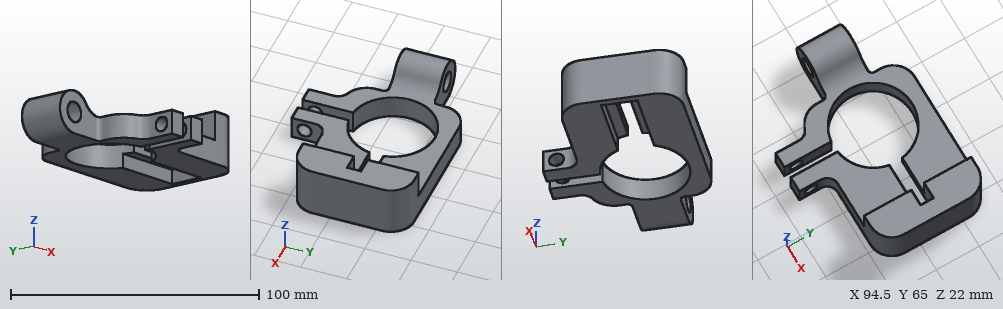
import cadquery as cq
import math

body_length = 70.0
body_width = 50.0
plate_thickness = 10.0
corner_radius = 10.0
half_width = body_width / 2

block_length = 15.0
block_height = 22.0

lug_thickness = 7.0
slit_width = 5.0
lug_length = 15.0
lug_fillet = 5.0
lug_left = corner_radius
lug_right = lug_left + 2 * lug_thickness + slit_width
lug_end = -half_width - lug_length
screw_diameter = 6.0
screw_from_lug_end = 5.5

bore_diameter = 36.5
bore_x = (lug_left + lug_right) / 2

slot_width = 6.0
undercut_ledge = 4.5
undercut_depth = 6.0
slot_end_wall = 7.5
slot_end = body_length - slot_end_wall

barrel_radius = 9.0
barrel_width = 20.0
pin_diameter = 8.5
blend_radius = 10.0
web_fillet = 2.0
blend_z = plate_thickness + blend_radius
barrel_x = -math.sqrt((barrel_radius + blend_radius) ** 2 - (blend_z - barrel_radius) ** 2)


def make_plate():
    """Rounded plate with the two lugs still joined as one tab."""
    plate = (
        cq.Workplane("XY")
        .rect(body_length, body_width)
        .extrude(plate_thickness)
        .translate((body_length / 2, 0, 0))
        .edges("|Z")
        .fillet(corner_radius)
    )

    arc_x = corner_radius
    arc_y = -half_width + corner_radius
    center_gap = corner_radius + lug_fillet
    fillet_x = lug_left - lug_fillet
    fillet_y = arc_y - math.sqrt(center_gap**2 - (arc_x - fillet_x) ** 2)
    touch_ratio = corner_radius / center_gap
    touch_x = arc_x + touch_ratio * (fillet_x - arc_x)
    touch_y = arc_y + touch_ratio * (fillet_y - arc_y)

    tab = (
        cq.Workplane("XY")
        .moveTo(arc_x, arc_y)
        .lineTo(touch_x, touch_y)
        .radiusArc((lug_left, fillet_y), lug_fillet)
        .lineTo(lug_left, lug_end)
        .lineTo(lug_right, lug_end)
        .lineTo(lug_right, -half_width - lug_fillet)
        .radiusArc((lug_right + lug_fillet, -half_width), lug_fillet)
        .lineTo(lug_right + lug_fillet, arc_y)
        .close()
        .extrude(plate_thickness)
    )
    return plate.union(tab)


def make_block():
    """Raised block with the two outer corners rounded."""
    return (
        cq.Workplane("XY")
        .rect(block_length, body_width)
        .extrude(block_height)
        .translate((body_length - block_length / 2, 0, 0))
        .edges("|Z and >X")
        .fillet(corner_radius)
    )


def make_barrel():
    """Hinge barrel, its web to the plate and the fillets beside the web."""
    touch_ratio = barrel_radius / (barrel_radius + blend_radius)
    touch_x = barrel_x - touch_ratio * barrel_x
    touch_z = barrel_radius + touch_ratio * (blend_z - barrel_radius)

    def profile_prism(width):
        return (
            cq.Workplane("XZ")
            .moveTo(0, 0)
            .lineTo(0, plate_thickness)
            .radiusArc((touch_x, touch_z), blend_radius)
            .threePointArc((barrel_x - barrel_radius, barrel_radius), (barrel_x, 0))
            .close()
            .extrude(width / 2, both=True)
        )

    half_root = barrel_width / 2
    root_width = barrel_width + 2 * web_fillet
    root = (
        cq.Workplane("XY")
        .moveTo(0, -half_root - web_fillet)
        .radiusArc((-web_fillet, -half_root), -web_fillet)
        .lineTo(-web_fillet, half_root)
        .radiusArc((0, half_root + web_fillet), -web_fillet)
        .close()
        .extrude(blend_z)
        .intersect(profile_prism(root_width))
    )
    return profile_prism(barrel_width).union(root)


def slot_prism(width, end_x, height):
    """Straight slot volume from the bore axis to end_x, up from the underside."""
    return (
        cq.Workplane("XY")
        .box(end_x - bore_x, width, height, centered=(False, True, False))
        .translate((bore_x, 0, 0))
    )


def make_cuts():
    """Bore, T-slot, clamp slit, screw hole and hinge pin hole."""
    bore = cq.Workplane("XY").center(bore_x, 0).circle(bore_diameter / 2).extrude(plate_thickness)
    slot = slot_prism(slot_width, slot_end, block_height)
    undercut_width = slot_width + 2 * undercut_ledge
    undercut = slot_prism(undercut_width, slot_end + undercut_ledge, undercut_depth)
    slit = (
        cq.Workplane("XY")
        .box(slit_width, -lug_end, plate_thickness, centered=(True, False, False))
        .translate((bore_x, lug_end, 0))
    )
    screw_hole = (
        cq.Workplane("YZ", origin=(lug_left, 0, 0))
        .center(lug_end + screw_from_lug_end, plate_thickness / 2)
        .circle(screw_diameter / 2)
        .extrude(lug_right - lug_left)
    )
    pin_hole = (
        cq.Workplane("XZ")
        .center(barrel_x, barrel_radius)
        .circle(pin_diameter / 2)
        .extrude(barrel_width / 2, both=True)
    )
    return [bore, slot, undercut, slit, screw_hole, pin_hole]


result = make_plate().union(make_block()).union(make_barrel())
for cut in make_cuts():
    result = result.cut(cut)